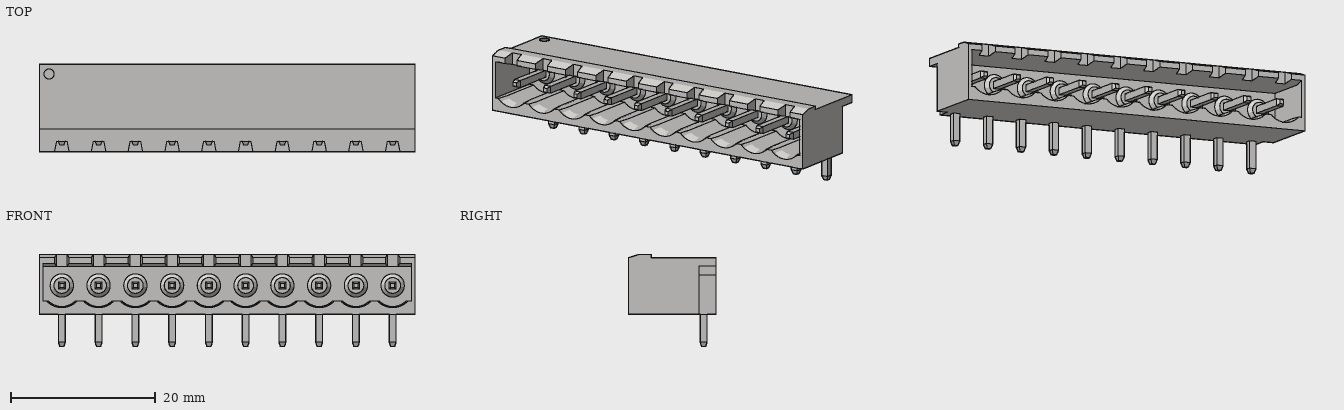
import cadquery as cq

length = 52.0
depth = 12.1
body_height = 8.3
total_height = 12.8
pin_count = 10
end_margin = 3.1
pitch = (length - 2 * end_margin) / (pin_count - 1)

front = -depth / 2
back = depth / 2
top = body_height
pin_axis_z = 4.0
pin_positions = [(i - (pin_count - 1) / 2) * pitch for i in range(pin_count)]

top_step = 0.45
lip_depth = 3.15
nose_length = 1.45
nose_drop = 0.45

wall = 0.5
cavity_depth = 8.3
ceiling_z = 6.65
ceiling_rise = 0.4
floor_z = 1.85
scallop_center_z = 3.8
scallop_radius = 2.7
scallop_front_radius = 2.85
scallop_lead_in = 1.75

notch_front_width = 2.05
notch_back_width = 1.45

pin_width = 1.0
pin_setback = 0.95
leg_back_gap = 1.7
tip_length = 0.6
tip_inset = 0.2
collar_diameter = 3.2
collar_tip_diameter = 2.2
collar_height = 0.5

recess_length = 2.35
recess_inset = 1.6
flange_thickness = 1.15
undercut_height = 1.25
undercut_extra = 0.3

mark_diameter = 1.4
mark_offset = 1.35
mark_depth = 0.1


def block(x0, x1, y0, y1, z0, z1):
    """Axis-aligned box between two opposite corners."""
    return cq.Workplane("XY").box(x1 - x0, y1 - y0, z1 - z0, centered=False).translate((x0, y0, z0))


def housing():
    """Solid shell outline: stepped top with a sloped nose above the opening."""
    profile = [
        (front, 0),
        (front, top - nose_drop),
        (front + nose_length, top),
        (front + lip_depth, top),
        (front + lip_depth, top - top_step),
        (back, top - top_step),
        (back, 0),
    ]
    return cq.Workplane("YZ").polyline(profile).close().extrude(length / 2, both=True)


def scallop(x):
    """Round trough in the cavity floor, flaring toward the opening."""
    trough = (
        cq.Workplane("XZ", origin=(x, front + cavity_depth, scallop_center_z))
        .circle(scallop_radius)
        .extrude(cavity_depth)
    )
    flare = cq.Solid.makeCone(
        scallop_front_radius,
        scallop_radius,
        scallop_lead_in,
        pnt=cq.Vector(x, front, scallop_center_z),
        dir=cq.Vector(0, 1, 0),
    )
    lower_half = block(
        x - pitch / 2, x + pitch / 2, front, front + cavity_depth, 0, scallop_center_z
    )
    return trough.union(cq.Workplane(flare)).intersect(lower_half)


def cavity():
    """Mating cavity: lead-in slope under the roof and one floor trough per pin."""
    profile = [
        (front, floor_z),
        (front + cavity_depth, floor_z),
        (front + cavity_depth, ceiling_z),
        (front + nose_length, ceiling_z),
        (front, ceiling_z + ceiling_rise),
    ]
    half_width = length / 2 - wall
    space = cq.Workplane("YZ").polyline(profile).close().extrude(half_width, both=True)
    for x in pin_positions:
        space = space.union(scallop(x))
    limits = block(-half_width, half_width, front, back, 0, top)
    return space.intersect(limits)


def roof_notch(x):
    """Tapered notch through the front edge of the roof."""
    outline = [
        (x - notch_front_width / 2, front),
        (x + notch_front_width / 2, front),
        (x + notch_back_width / 2, front + nose_length),
        (x - notch_back_width / 2, front + nose_length),
    ]
    return (
        cq.Workplane("XY", origin=(0, 0, scallop_center_z))
        .polyline(outline)
        .close()
        .extrude(top - scallop_center_z)
    )


def rear_recess(side):
    """Recess at one rear end, cut deeper just under the flange."""
    flange_z = top - top_step - flange_thickness
    outer = side * length / 2
    inner = outer - side * recess_inset
    undercut = inner - side * undercut_extra
    recess = block(min(outer, inner), max(outer, inner), back - recess_length, back, 0, flange_z)
    deeper = block(
        min(outer, undercut),
        max(outer, undercut),
        back - recess_length,
        back,
        flange_z - undercut_height,
        flange_z,
    )
    return recess.union(deeper)


def tapered_bar(plane, bar_length):
    """Square bar along the plane normal, ending in a tapered tip."""
    straight = bar_length - tip_length
    end_width = pin_width - 2 * tip_inset
    bar = cq.Workplane(plane).rect(pin_width, pin_width).extrude(straight)
    tip = (
        cq.Workplane(plane)
        .workplane(offset=straight)
        .rect(pin_width, pin_width)
        .workplane(offset=tip_length)
        .rect(end_width, end_width)
        .loft()
    )
    return bar.union(tip)


def pin(x):
    """Right-angle pin with a collar at its root in the cavity."""
    leg_y = back - leg_back_gap
    leg_length = pin_axis_z + total_height - body_height
    contact_length = leg_y - front - pin_setback
    contact_plane = cq.Plane((x, leg_y, pin_axis_z), xDir=(1, 0, 0), normal=(0, -1, 0))
    contact = tapered_bar(contact_plane, contact_length)
    leg_plane = cq.Plane((x, leg_y, pin_axis_z), xDir=(1, 0, 0), normal=(0, 0, -1))
    leg = tapered_bar(leg_plane, leg_length)
    collar = cq.Solid.makeCone(
        collar_diameter / 2,
        collar_tip_diameter / 2,
        collar_height,
        pnt=cq.Vector(x, front + cavity_depth, pin_axis_z),
        dir=cq.Vector(0, -1, 0),
    )
    return contact.union(leg).union(cq.Workplane(collar))


def pin_one_mark():
    """Shallow round mark in the rear corner of the top face."""
    return (
        cq.Workplane("XY", origin=(0, 0, top - top_step - mark_depth))
        .center(mark_offset - length / 2, back - mark_offset)
        .circle(mark_diameter / 2)
        .extrude(mark_depth)
    )


result = housing().cut(cavity()).cut(pin_one_mark())
for side in (-1, 1):
    result = result.cut(rear_recess(side))
for x in pin_positions:
    result = result.cut(roof_notch(x)).union(pin(x))